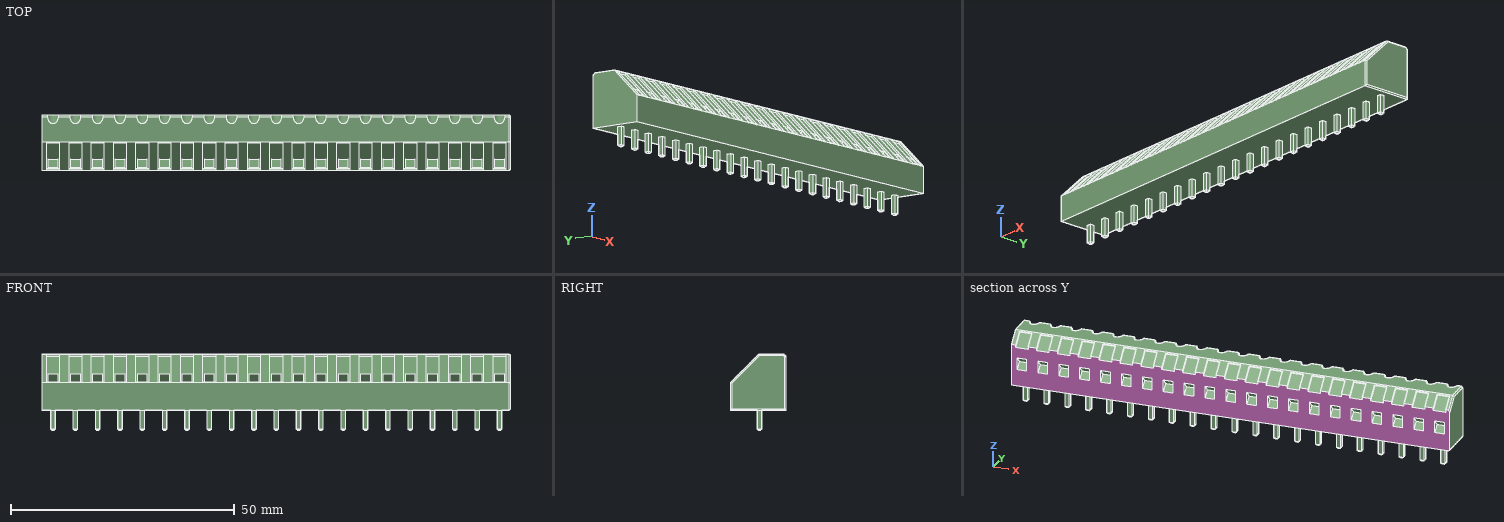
import cadquery as cq
import math

length = 105.0
depth = 12.5
height = 12.6
front_height = 6.2
top_depth = 6.1
pole_count = 21
pitch = length / pole_count
end_chamfer = 0.3
back_chamfer = 0.5

pin_length = 4.5
pin_width = 1.0
pin_from_back = 6.0
pin_tip_chamfer = 0.3

channel_width = 2.9
channel_start = 0.3
channel_depth = 0.4
lip = 0.2

entry_width = 2.2
entry_rim = 0.4
entry_length = 2.5
entry_depth = 4.2

groove_diameter = 2.4
groove_reach = 2.0
groove_length = 3 * groove_diameter

slope_run = depth - top_depth
slope_drop = height - front_height
slope_length = math.hypot(slope_run, slope_drop)
back_y = depth / 2
slope_top_y = back_y - top_depth
pole_positions = [(i - (pole_count - 1) / 2) * pitch for i in range(pole_count)]


def make_housing():
    """Wedge-fronted block with a bevelled +X end and back top edge."""
    profile = [
        (-back_y, 0),
        (back_y, 0),
        (back_y, height - back_chamfer),
        (back_y - back_chamfer, height),
        (slope_top_y, height),
        (-back_y, front_height),
    ]
    block = cq.Workplane("YZ").polyline(profile).close().extrude(length / 2, both=True)
    return block.faces(">X").chamfer(end_chamfer)


def slope_plane(x):
    """Plane on the sloped face at pole x: local X across the pole, local Y up the slope."""
    return cq.Workplane(
        cq.Plane(
            origin=(x, slope_top_y, height),
            xDir=(1, 0, 0),
            normal=(0, -slope_drop, slope_run),
        )
    )


def slope_pocket(x, width, start, end, pocket_depth):
    """Rectangular pocket cutter between two distances down the slope."""
    plane = slope_plane(x).center(0, -(start + end) / 2)
    return plane.rect(width, end - start).extrude(-pocket_depth)


def make_groove(x):
    """Tilted cylinder cutter whose lowest line falls toward the back from the top face."""
    axis_from_back = groove_reach - groove_diameter / 2 * math.sqrt(2)
    tilted = cq.Plane(
        origin=(x, back_y - axis_from_back + groove_diameter, height - groove_diameter),
        xDir=(0, -1, -1),
        normal=(0, -1, 1),
    )
    return cq.Workplane(tilted).circle(groove_diameter / 2).extrude(groove_length).val()


def make_pole_cuts(x):
    """Everything removed from the housing at one pole."""
    foot = slope_length - lip
    channel = slope_pocket(x, channel_width, channel_start, foot, channel_depth)
    entry_end = foot - entry_rim
    entry = slope_pocket(x, entry_width, entry_end - entry_length, entry_end, entry_depth)
    return [channel.val(), entry.val(), make_groove(x)]


def make_pin(x):
    """Square solder pin with a bevelled tip."""
    return (
        cq.Workplane("XY", origin=(x, back_y - pin_from_back, 0))
        .rect(pin_width, pin_width)
        .extrude(-pin_length)
        .faces("<Z")
        .chamfer(pin_tip_chamfer)
        .val()
    )


cuts = [cut for x in pole_positions for cut in make_pole_cuts(x)]
pins = [make_pin(x) for x in pole_positions]
housing = make_housing().val().cut(*cuts)
result = cq.Workplane(housing.fuse(*pins))